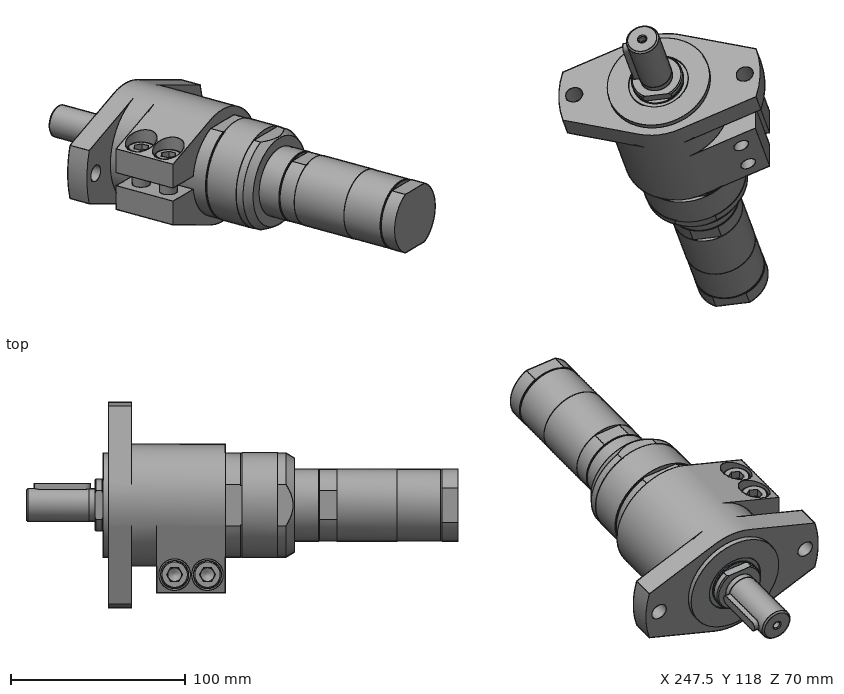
import cadquery as cq
import math

TOTAL_LENGTH = 247.5

SHAFT_DIAMETER = 19.0
SHAFT_SEAT_DIAMETER = 18.8
SHAFT_SEAT_START = 36.0
SHAFT_CHAMFER = 1.0
CENTRE_HOLE_DIAMETER = 4.2
CENTRE_HOLE_DEPTH = 5.0
COUNTERSINK_DIAMETER = 5.5
KEY_START = 4.5
KEY_LENGTH = 32.5
KEY_WIDTH = 6.0
KEY_TOP = 12.4
COLLAR_START = 39.4
COLLAR_DIAMETER = 30.0
COLLAR_CHAMFER = 0.7
COLLAR_ACROSS_FLATS = 25.0
COLLAR_BASE_DIAMETER = 29.5
COLLAR_RECESS_DIAMETER = 35.0
COLLAR_RECESS_DEPTH = 1.0

PILOT_START = 44.0
PILOT_DIAMETER = 60.0
FLANGE_START = 47.0
FLANGE_END = 60.5
FLANGE_SPAN = 118.0
FLANGE_HOLE_DIAMETER = 10.0
FLANGE_HOLE_OFFSET = 50.0
TAPER_ANGLE = 20.0

BODY_DIAMETER = 70.0
CLAMP_START = 74.7
CLAMP_END = 114.0
LUG_REACH = 50.2
LUG_SLOT_WIDTH = 8.2
CORE_DIAMETER = 60.0

SCREW_OFFSET = 39.8
SCREW_PITCH = 18.8
SCREW_DIAMETER = 10.5
SCREW_HEAD_DIAMETER = 16.0
SCREW_HEAD_HEIGHT = 10.0
SCREW_HEAD_CHAMFER = 0.7
SCREW_HEAD_TOP = 18.8
COUNTERBORE_DIAMETER = 18.0
SOCKET_ACROSS_FLATS = 8.0
SOCKET_TURN = 30.0
SOCKET_DEPTH = 5.0
SOCKET_POINT_DEPTH = 2.0
TAPPED_HOLE_DIAMETER = 8.5
SCREW_TIP_HEIGHT = -14.8

JOINT_GROOVE_WIDTH = 0.7
JOINT_GROOVE_DEPTH = 0.2

NECK_END = 123.5
RING_END = 144.0
TAPER_START = 148.7
HOUSING_END = 153.7
HOUSING_DIAMETER = 60.0
RING_DIAMETER = 60.5
HOUSING_ACROSS_FLATS = 55.0
HOUSING_END_DIAMETER = 54.0

MOTOR_DIAMETER = 41.5
MOTOR_STEP_DIAMETER = 41.3
MOTOR_FLAT_START = 168.0
MOTOR_FLAT_END = 178.0
MOTOR_REAR_START = 212.4
MOTOR_FRONT_ACROSS_FLATS = 37.9
MOTOR_REAR_FLAT_START = 238.0
MOTOR_REAR_ACROSS_FLATS = 36.6


def rod(start, end, diameter):
    """Cylinder on the drive axis between two X stations."""
    return cq.Workplane("YZ").workplane(offset=start).circle(diameter / 2).extrude(end - start)


def turned(profile):
    """Solid turned about the drive axis from (station, radius) points."""
    return cq.Workplane("XY").polyline(profile).close().revolve(axisEnd=(1, 0, 0))


def box_between(x_range, y_range, z_range):
    """Box given by its limits along each axis."""
    sizes = [high - low for low, high in (x_range, y_range, z_range)]
    corner = (x_range[0], y_range[0], z_range[0])
    return cq.Workplane("XY").box(*sizes, centered=False).translate(corner)


def with_flats(body, start, end, across_flats):
    """Cut two flats, facing up and down, between two X stations."""
    reach = BODY_DIAMETER
    half = across_flats / 2
    upper = box_between((start, end), (-reach, reach), (half, reach))
    return body.cut(upper).cut(upper.mirror("XY"))


def with_groove(body, end, diameter):
    """Turn a shallow joint groove that ends at an X station."""
    start = end - JOINT_GROOVE_WIDTH
    bottom = diameter - 2 * JOINT_GROOVE_DEPTH
    return body.cut(rod(start, end, diameter).cut(rod(start, end, bottom)))


def edge_height(y):
    """Height of the sloped line that is tangent to the body circle."""
    angle = math.radians(TAPER_ANGLE)
    return (BODY_DIAMETER / 2 - abs(y) * math.sin(angle)) / math.cos(angle)


def tangent_point():
    """Offset and height where the sloped line touches the body circle."""
    angle = math.radians(TAPER_ANGLE)
    radius = BODY_DIAMETER / 2
    return radius * math.sin(angle), radius * math.cos(angle)


def make_shaft():
    shaft = rod(0, SHAFT_SEAT_START, SHAFT_DIAMETER).faces("<X").chamfer(SHAFT_CHAMFER)
    shaft = shaft.union(rod(SHAFT_SEAT_START, FLANGE_START, SHAFT_SEAT_DIAMETER))
    key = (
        cq.Workplane("XZ")
        .center(KEY_START + KEY_LENGTH / 2, 0)
        .slot2D(KEY_LENGTH, KEY_WIDTH)
        .extrude(-KEY_TOP)
    )
    shaft = shaft.union(key)
    sink_radius = COUNTERSINK_DIAMETER / 2
    hole_radius = CENTRE_HOLE_DIAMETER / 2
    centre_hole_profile = [
        (0, 0),
        (0, sink_radius),
        (sink_radius - hole_radius, hole_radius),
        (CENTRE_HOLE_DEPTH, hole_radius),
        (CENTRE_HOLE_DEPTH + hole_radius, 0),
    ]
    return shaft.cut(turned(centre_hole_profile))


def make_collar():
    collar = rod(COLLAR_START, PILOT_START, COLLAR_DIAMETER).faces("<X or >X").chamfer(COLLAR_CHAMFER)
    collar = with_flats(collar, COLLAR_START, PILOT_START, COLLAR_ACROSS_FLATS)
    return collar.union(rod(PILOT_START, FLANGE_START, COLLAR_BASE_DIAMETER))


def make_flange_and_body():
    tangent_y, tangent_z = tangent_point()
    half_span = FLANGE_SPAN / 2
    upper_edge = [
        (-half_span, edge_height(half_span)),
        (-tangent_y, tangent_z),
        (tangent_y, tangent_z),
        (half_span, edge_height(half_span)),
    ]
    lower_edge = [(y, -z) for y, z in reversed(upper_edge)]
    plate = (
        cq.Workplane("YZ")
        .workplane(offset=FLANGE_START)
        .polyline(upper_edge + lower_edge)
        .close()
        .extrude(FLANGE_END - FLANGE_START)
    )
    plate = plate.intersect(rod(FLANGE_START, FLANGE_END, FLANGE_SPAN))
    plate = plate.union(rod(FLANGE_START, CLAMP_START, BODY_DIAMETER))
    for side in (-1, 1):
        hole = rod(FLANGE_START, FLANGE_END, FLANGE_HOLE_DIAMETER)
        plate = plate.cut(hole.translate((0, side * FLANGE_HOLE_OFFSET, 0)))
    pilot = rod(PILOT_START, FLANGE_START, PILOT_DIAMETER)
    recess = rod(PILOT_START, PILOT_START + COLLAR_RECESS_DEPTH, COLLAR_RECESS_DIAMETER)
    return plate.union(pilot).cut(recess)


def make_clamp():
    tangent_y, tangent_z = tangent_point()
    lug_height = edge_height(LUG_REACH)
    lug = (
        cq.Workplane("YZ")
        .workplane(offset=CLAMP_START)
        .polyline([
            (0, tangent_z),
            (-tangent_y, tangent_z),
            (-LUG_REACH, lug_height),
            (-LUG_REACH, -lug_height),
            (-tangent_y, -tangent_z),
            (0, -tangent_z),
        ])
        .close()
        .extrude(CLAMP_END - CLAMP_START)
    )
    half_slot = LUG_SLOT_WIDTH / 2
    slot = box_between((CLAMP_START, CLAMP_END), (-LUG_REACH, 0), (-half_slot, half_slot))
    clamp = rod(CLAMP_START, CLAMP_END, BODY_DIAMETER).union(lug).cut(slot)
    return clamp.union(rod(CLAMP_START, CLAMP_END, CORE_DIAMETER))


def vertical_rod(bottom, top, diameter):
    """Cylinder along Z, centred on the origin."""
    return cq.Workplane("XY").workplane(offset=bottom).circle(diameter / 2).extrude(top - bottom)


def make_screw():
    """Socket head screw standing on the Z axis."""
    head_bottom = SCREW_HEAD_TOP - SCREW_HEAD_HEIGHT
    head = vertical_rod(head_bottom, SCREW_HEAD_TOP, SCREW_HEAD_DIAMETER)
    head = head.faces(">Z").chamfer(SCREW_HEAD_CHAMFER)
    socket = (
        cq.Workplane("XY")
        .workplane(offset=SCREW_HEAD_TOP)
        .polygon(6, SOCKET_ACROSS_FLATS, circumscribed=True)
        .extrude(-SOCKET_DEPTH)
        .rotate((0, 0, 0), (0, 0, 1), SOCKET_TURN)
    )
    point = cq.Workplane("XY").add(
        cq.Solid.makeCone(
            SOCKET_ACROSS_FLATS / 2,
            0,
            SOCKET_POINT_DEPTH,
            cq.Vector(0, 0, SCREW_HEAD_TOP - SOCKET_DEPTH),
            cq.Vector(0, 0, -1),
        )
    )
    shank = vertical_rod(SCREW_TIP_HEIGHT, head_bottom, SCREW_DIAMETER)
    return head.union(shank).cut(socket).cut(point)


def add_screws(body):
    middle = (CLAMP_START + CLAMP_END) / 2
    top = BODY_DIAMETER / 2
    counterbore = vertical_rod(SCREW_HEAD_TOP - SCREW_HEAD_HEIGHT, top, COUNTERBORE_DIAMETER)
    tapped_hole = vertical_rod(-top, SCREW_TIP_HEIGHT, TAPPED_HOLE_DIAMETER)
    screw = make_screw()
    for side in (-1, 1):
        place = (middle + side * SCREW_PITCH / 2, -SCREW_OFFSET, 0)
        body = body.cut(counterbore.translate(place))
        body = body.cut(tapped_hole.translate(place))
        body = body.union(screw.translate(place))
    return body


def make_housing():
    neck = rod(CLAMP_END, NECK_END, HOUSING_DIAMETER)
    neck = with_groove(neck, NECK_END, HOUSING_DIAMETER)
    neck = with_flats(neck, CLAMP_END, NECK_END, HOUSING_ACROSS_FLATS)
    ring = rod(NECK_END, RING_END, RING_DIAMETER)
    shoulder = turned([
        (RING_END, 0),
        (RING_END, HOUSING_DIAMETER / 2),
        (TAPER_START, HOUSING_DIAMETER / 2),
        (HOUSING_END, HOUSING_END_DIAMETER / 2),
        (HOUSING_END, 0),
    ])
    shoulder = with_flats(shoulder, RING_END, HOUSING_END, HOUSING_ACROSS_FLATS)
    return neck.union(ring).union(shoulder)


def make_motor():
    motor = rod(HOUSING_END, MOTOR_FLAT_START, MOTOR_DIAMETER)
    motor = with_groove(motor, MOTOR_FLAT_START, MOTOR_DIAMETER)
    front_flats = rod(MOTOR_FLAT_START, MOTOR_FLAT_END, MOTOR_STEP_DIAMETER)
    middle = rod(MOTOR_FLAT_END, MOTOR_REAR_START, MOTOR_DIAMETER)
    rear = rod(MOTOR_REAR_START, MOTOR_REAR_FLAT_START, MOTOR_STEP_DIAMETER)
    rear = with_groove(rear, MOTOR_REAR_FLAT_START, MOTOR_STEP_DIAMETER)
    end_cap = rod(MOTOR_REAR_FLAT_START, TOTAL_LENGTH, MOTOR_DIAMETER)
    for section in (front_flats, middle, rear, end_cap):
        motor = motor.union(section)
    motor = with_flats(motor, MOTOR_FLAT_START, MOTOR_FLAT_END, MOTOR_FRONT_ACROSS_FLATS)
    return with_flats(motor, MOTOR_REAR_FLAT_START, TOTAL_LENGTH, MOTOR_REAR_ACROSS_FLATS)


result = add_screws(make_flange_and_body().union(make_clamp()))
for section in (make_collar(), make_shaft(), make_housing(), make_motor()):
    result = result.union(section)